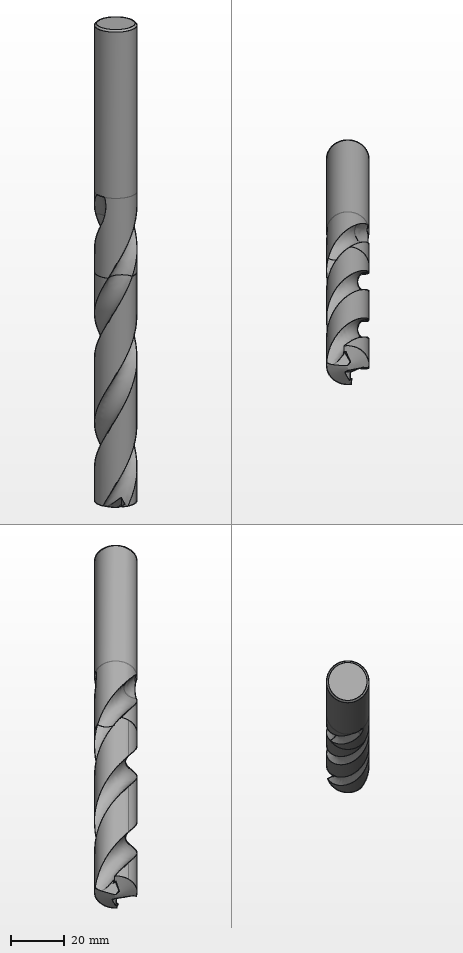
import cadquery as cq
import math

length = 193.0
diameter = 16.0
drill_radius = diameter / 2
neck_top = 126.0
cutting_top = 94.0
shank_chamfer = 0.8

point_angle = 140.0
point_height = drill_radius / math.tan(math.radians(point_angle / 2))

flute_count = 2
helix_angle = 30.0
pitch = math.pi * diameter / math.tan(math.radians(helix_angle))
flute_half_angle = 36.0
core_radius = 3.7
flute_top = 116.2
runout_shift = 5.6
runout_lift = 2.3
front_height = 86.5
bottom_angle = -90 - 360 * front_height / pitch
twist = 360 * flute_top / pitch

edge_x = drill_radius * math.cos(math.radians(flute_half_angle))
edge_y = drill_radius * math.sin(math.radians(flute_half_angle))
edge_depth = edge_x - core_radius
flute_radius = (edge_depth**2 + edge_y**2) / (2 * edge_depth)
flute_center = core_radius + flute_radius

gash_inner = 0.8
gash_outer = 4.6
gash_inner_top = 1.5
gash_outer_top = 7.0
gash_offset = 2.1
gash_shallow_slope = 40.0
gash_steep_slope = 70.0
gash_angle = bottom_angle + 360 * point_height / pitch
gash_depth = 5.8


def flute_cutter(angle):
    """Helical flute, followed by a straight runout that rises to the surface."""
    helix = (
        cq.Workplane("XY")
        .center(flute_center, 0)
        .circle(flute_radius)
        .extrude(2)
        .faces("<Z")
        .wires()
        .val()
    )
    twisted = cq.Solid.extrudeLinearWithRotation(
        helix, [], cq.Vector(0, 0, 0), cq.Vector(0, 0, flute_top), twist
    )
    rise = neck_top - flute_top
    section = cq.Face.makeFromWires(helix.moved(cq.Location(cq.Vector(0, 0, flute_top))))
    runout = cq.Solid.extrudeLinear(section, cq.Vector(runout_lift, runout_shift, rise))
    runout = runout.rotate(cq.Vector(0, 0, 0), cq.Vector(0, 0, 1), twist)
    return [
        body.rotate(cq.Vector(0, 0, 0), cq.Vector(0, 0, 1), angle)
        for body in (twisted, runout)
    ]


def gash_cutter(angle):
    """V-shaped notch, open downward, that climbs outward into the flute."""
    bottom = gash_inner_top - gash_depth
    shallow_width = gash_depth / math.tan(math.radians(gash_shallow_slope))
    steep_width = gash_depth / math.tan(math.radians(gash_steep_slope))
    profile = cq.Wire.makePolygon(
        [
            cq.Vector(gash_inner, gash_offset, gash_inner_top),
            cq.Vector(gash_inner, gash_offset - shallow_width, bottom),
            cq.Vector(gash_inner, gash_offset + steep_width, bottom),
        ],
        close=True,
    )
    climb = cq.Vector(gash_outer - gash_inner, 0, gash_outer_top - gash_inner_top)
    gash = cq.Solid.extrudeLinear(cq.Face.makeFromWires(profile), climb)
    return gash.rotate(cq.Vector(0, 0, 0), cq.Vector(0, 0, 1), angle)


def cut_flutes(body):
    for index in range(flute_count):
        for cutter in flute_cutter(bottom_angle + index * 360 / flute_count):
            body = body.cut(cq.Workplane(obj=cutter))
    return body


def make_cutting_body():
    blank = (
        cq.Workplane("XZ")
        .lineTo(drill_radius, point_height)
        .lineTo(drill_radius, cutting_top)
        .lineTo(0, cutting_top)
        .close()
        .revolve(360, (0, 0), (0, 1))
    )
    body = cut_flutes(blank)
    for index in range(flute_count):
        gash = gash_cutter(gash_angle + index * 360 / flute_count)
        body = body.cut(cq.Workplane(obj=gash))
    return body


def make_shank():
    neck = (
        cq.Workplane("XY", origin=(0, 0, cutting_top))
        .circle(drill_radius)
        .extrude(neck_top - cutting_top)
    )
    neck = cut_flutes(neck)
    shank = (
        cq.Workplane("XY", origin=(0, 0, neck_top))
        .circle(drill_radius)
        .extrude(length - neck_top)
        .faces(">Z")
        .chamfer(shank_chamfer)
    )
    return neck.union(shank, clean=False)


cutting_body = make_cutting_body()
shank_body = make_shank()
result = cq.Compound.makeCompound([cutting_body.val(), shank_body.val()])